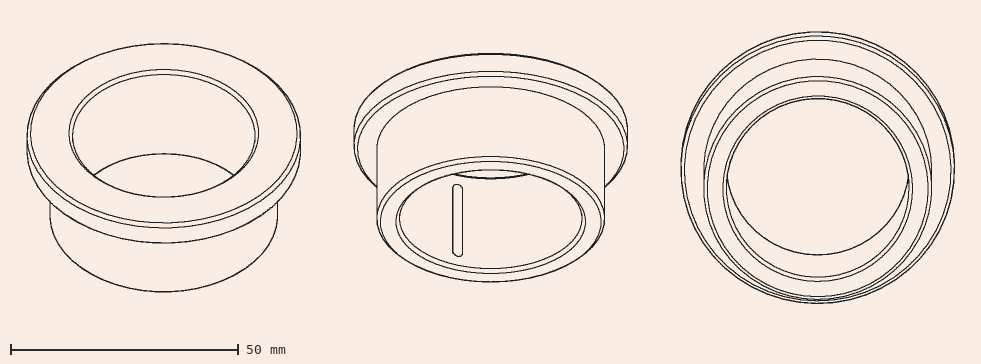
import cadquery as cq

flange_diameter = 60.0
sleeve_diameter = 50.0
bore_diameter = 40.0
total_height = 25.0
flange_thickness = 6.0
edge_chamfer = 0.8

groove_radius = 1.15
groove_straight_length = 16.5


def chamfered_disc(diameter, height, edges):
    disc = cq.Workplane("XY").circle(diameter / 2).extrude(height)
    return disc.edges(edges).chamfer(edge_chamfer)


def make_bushing():
    sleeve = chamfered_disc(sleeve_diameter, total_height, "<Z")
    flange = chamfered_disc(flange_diameter, flange_thickness, "<Z or >Z")
    flange = flange.translate((0, 0, total_height - flange_thickness))
    return sleeve.union(flange)


def make_bore():
    bore_radius = bore_diameter / 2
    mouth_radius = bore_radius + edge_chamfer
    return (
        cq.Workplane("XZ")
        .moveTo(0, 0)
        .lineTo(mouth_radius, 0)
        .lineTo(bore_radius, edge_chamfer)
        .lineTo(bore_radius, total_height - edge_chamfer)
        .lineTo(mouth_radius, total_height)
        .lineTo(0, total_height)
        .close()
        .revolve(360, (0, 0, 0), (0, 1, 0))
    )


def make_groove():
    groove_x = bore_diameter / 2
    bottom_z = (total_height - groove_straight_length) / 2
    top_z = bottom_z + groove_straight_length
    groove = (
        cq.Workplane("XY", origin=(groove_x, 0, bottom_z))
        .circle(groove_radius)
        .extrude(groove_straight_length)
    )
    for end_z in (bottom_z, top_z):
        ball = cq.Workplane("XY", origin=(groove_x, 0, end_z)).sphere(groove_radius)
        groove = groove.union(ball)
    return groove


result = make_bushing().cut(make_bore()).cut(make_groove())